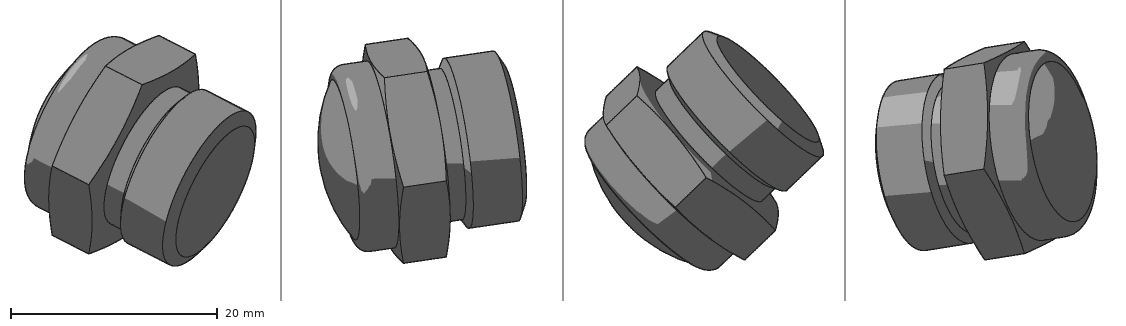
import cadquery as cq
import math

hex_across_corners = 21.95
hex_across_flats = hex_across_corners * math.cos(math.radians(30))
hex_chamfer_angle = 15.0

cap_diameter = 18.3
dome_diameter = 15.69
neck_diameter = 14.8
thread_diameter = 16.65
end_diameter = 14.05

dome_height = 2.3
hex_start = 5.9
hex_width = 5.0
neck_length = 1.95
thread_lead_in = 0.55
end_chamfer = 0.68
total_length = 18.93

cap_edge_radius = 1.23

hex_end = hex_start + hex_width
thread_start = hex_end + neck_length


def revolve_about_x(profile):
    """Turn a closed XY profile, with Y as the radius, about the X axis."""
    return profile.close().revolve(360, (0, 0, 0), (1, 0, 0))


def make_cap():
    """Domed head with a rounded rim, reaching to the middle of the hexagon."""
    dome_radius = dome_diameter / 2
    sphere_radius = (dome_radius**2 + dome_height**2) / (2 * dome_height)
    half_angle = math.asin(dome_radius / sphere_radius) / 2
    dome_middle = (
        sphere_radius * (1 - math.cos(half_angle)),
        sphere_radius * math.sin(half_angle),
    )
    cap_radius = cap_diameter / 2
    rim_radius = cap_radius - cap_edge_radius
    rim_middle = (
        dome_height + cap_edge_radius * (1 - math.sqrt(0.5)),
        rim_radius + cap_edge_radius * math.sqrt(0.5),
    )
    cap_end = hex_start + hex_width / 2
    return revolve_about_x(
        cq.Workplane("XY")
        .threePointArc(dome_middle, (dome_height, dome_radius))
        .lineTo(dome_height, rim_radius)
        .threePointArc(rim_middle, (dome_height + cap_edge_radius, cap_radius))
        .lineTo(cap_end, cap_radius)
        .lineTo(cap_end, 0)
    )


def make_hexagon():
    """Hexagon with its corners turned off conically at both ends."""
    corner_radius = hex_across_corners / 2
    face_radius = hex_across_flats / 2
    corner_drop = (corner_radius - face_radius) * math.tan(math.radians(hex_chamfer_angle))
    prism = (
        cq.Workplane("YZ", origin=(hex_start, 0, 0))
        .transformed(rotate=(0, 0, 90))
        .polygon(6, hex_across_corners)
        .extrude(hex_width)
    )
    turned_blank = revolve_about_x(
        cq.Workplane("XY")
        .moveTo(hex_start, 0)
        .lineTo(hex_start, face_radius)
        .lineTo(hex_start + corner_drop, corner_radius)
        .lineTo(hex_end - corner_drop, corner_radius)
        .lineTo(hex_end, face_radius)
        .lineTo(hex_end, 0)
    )
    return prism.intersect(turned_blank)


def make_shank():
    """Undercut neck and plain threaded section, chamfered at both ends."""
    neck_radius = neck_diameter / 2
    thread_radius = thread_diameter / 2
    shank_start = hex_start + hex_width / 2
    return revolve_about_x(
        cq.Workplane("XY")
        .moveTo(shank_start, 0)
        .lineTo(shank_start, neck_radius)
        .lineTo(thread_start, neck_radius)
        .lineTo(thread_start + thread_lead_in, thread_radius)
        .lineTo(total_length - end_chamfer, thread_radius)
        .lineTo(total_length, end_diameter / 2)
        .lineTo(total_length, 0)
    )


result = make_hexagon().union(make_cap()).union(make_shank())